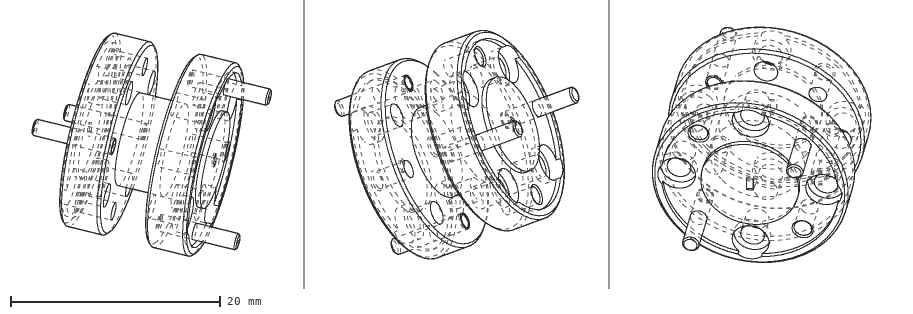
import cadquery as cq
import math

housing_length = 12.7
flange_diameter = 19.05
flange_thickness = 4.1
flange_chamfer = 0.29
hub_diameter = 9.15

rim_inner_diameter = 17.22
boss_diameter = 9.53
groove_depth = 0.5

hole_circle_diameter = 14.3
screw_hole_diameter = 2.3
counterbore_diameter = 3.58
counterbore_depth = 1.5
clearance_hole_diameter = 1.72
clearance_hole_chamfer = 0.16

port_width = 0.65
port_height = 1.3
port_depth = 0.2

pin_diameter = 1.62
pin_chamfer = 0.16
overall_length = 20.45

flange_outer_x = housing_length / 2
flange_inner_x = flange_outer_x - flange_thickness
groove_floor_x = flange_outer_x - groove_depth
counterbore_floor_x = flange_outer_x - counterbore_depth
pin_tip_x = overall_length / 2

SCREW_ANGLES = (0, 90, 180, 270)
DIAGONAL_A = (45, 225)
DIAGONAL_B = (135, 315)


def cylinder(x_start, x_end, diameter, y=0, z=0):
    """Cylinder along X between two X positions."""
    plane = cq.Plane(origin=(x_start, y, z), xDir=(0, 1, 0), normal=(1, 0, 0))
    return cq.Workplane(plane).circle(diameter / 2).extrude(x_end - x_start)


def on_hole_circle(angle):
    """Y and Z of a point on the hole circle."""
    radius = hole_circle_diameter / 2
    turn = math.radians(angle)
    return radius * math.cos(turn), radius * math.sin(turn)


def ring_groove():
    ring = cylinder(groove_floor_x, flange_outer_x, rim_inner_diameter)
    return ring.cut(cylinder(groove_floor_x, flange_outer_x, boss_diameter))


def screw_hole(angle):
    y, z = on_hole_circle(angle)
    hole = cylinder(flange_inner_x, flange_outer_x, screw_hole_diameter, y, z)
    return hole.union(cylinder(counterbore_floor_x, flange_outer_x, counterbore_diameter, y, z))


def pin_hole(angle):
    """Hole that a pin of this flange fills."""
    y, z = on_hole_circle(angle)
    return cylinder(flange_inner_x, groove_floor_x, pin_diameter, y, z)


def clearance_hole(angle):
    """Hole for a pin of the mating part, chamfered at the groove floor."""
    y, z = on_hole_circle(angle)
    mouth_diameter = clearance_hole_diameter + 2 * clearance_hole_chamfer
    mouth_start_x = groove_floor_x - clearance_hole_chamfer
    mouth = cylinder(mouth_start_x, flange_outer_x, mouth_diameter, y, z)
    mouth = mouth.faces("<X").chamfer(clearance_hole_chamfer)
    return cylinder(flange_inner_x, groove_floor_x, clearance_hole_diameter, y, z).union(mouth)


def waveguide_port():
    port = cq.Workplane("XY").box(port_depth, port_width, port_height)
    return port.translate((flange_outer_x - port_depth / 2, 0, 0))


def make_flange(pin_angles, clearance_angles):
    """Flange on the +X side."""
    flange = cylinder(flange_inner_x, flange_outer_x, flange_diameter)
    flange = flange.edges("%CIRCLE").chamfer(flange_chamfer)
    flange = flange.cut(ring_groove()).cut(waveguide_port())
    for angle in SCREW_ANGLES:
        flange = flange.cut(screw_hole(angle))
    for angle in pin_angles:
        flange = flange.cut(pin_hole(angle))
    for angle in clearance_angles:
        flange = flange.cut(clearance_hole(angle))
    return flange


def make_housing():
    """Hub and both flanges, whose pins sit on opposite diagonals."""
    hub = cylinder(-flange_inner_x, flange_inner_x, hub_diameter)
    right_flange = make_flange(DIAGONAL_A, DIAGONAL_B)
    left_flange = make_flange(DIAGONAL_B, DIAGONAL_A).mirror("YZ")
    return hub.union(right_flange).union(left_flange)


def make_pin(angle):
    """Dowel pin of the +X flange, chamfered at both ends."""
    y, z = on_hole_circle(angle)
    pin = cylinder(flange_inner_x, pin_tip_x, pin_diameter, y, z)
    return pin.edges("%CIRCLE").chamfer(pin_chamfer)


housing = make_housing()
right_pins = [make_pin(angle) for angle in DIAGONAL_A]
left_pins = [make_pin(angle).mirror("YZ") for angle in DIAGONAL_B]
pins = right_pins + left_pins

result = cq.Compound.makeCompound([housing.val(), *[pin.val() for pin in pins]])